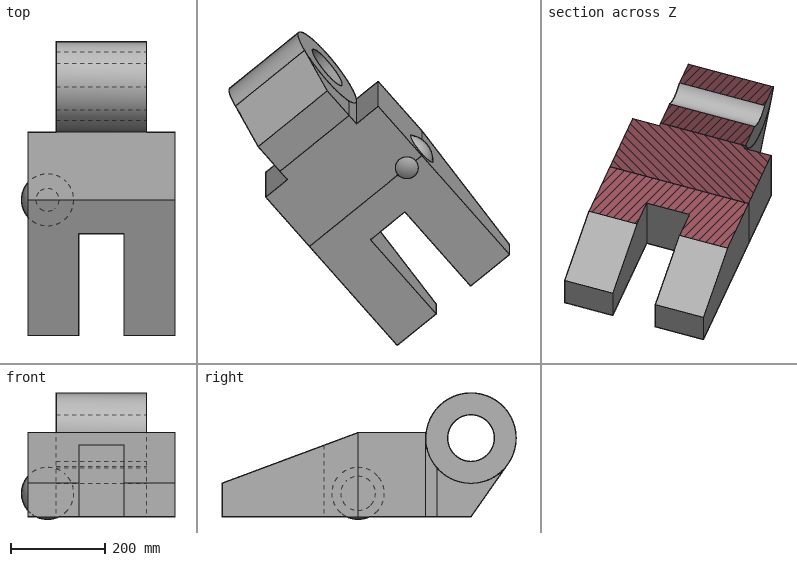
import cadquery as cq
import math

BODY_WIDTH = 312.5
BODY_HEIGHT = 179.0
BLOCK_LENGTH = 143.5

FORK_LENGTH = 288.0
FORK_TIP_HEIGHT = 72.0
SLOT_WIDTH = 95.5
SLOT_LENGTH = 216.0

BARREL_RADIUS = 96.0
BORE_RADIUS = 49.0
BARREL_WIDTH = 192.0
BARREL_AXIS_Z = 167.0

TONGUE_LENGTH = 24.5

BALL_RADIUS = 55.5
BALL_CENTER_Z = 50.0
BALL_PROTRUSION = 14.0

BARREL_AXIS_Y = BLOCK_LENGTH + BARREL_RADIUS
TONGUE_END_Y = BLOCK_LENGTH + TONGUE_LENGTH
BALL_CENTER_X = -BODY_WIDTH / 2 - BALL_PROTRUSION + BALL_RADIUS


def side_profile(points, width):
    """Extrude a Y-Z outline across X, centred on X = 0."""
    return cq.Workplane("YZ", origin=(-width / 2, 0, 0)).polyline(points).close().extrude(width)


def barrel_cylinder(radius):
    """Cylinder along X on the barrel axis."""
    return (
        cq.Workplane("YZ", origin=(-BARREL_WIDTH / 2, BARREL_AXIS_Y, BARREL_AXIS_Z))
        .circle(radius)
        .extrude(BARREL_WIDTH)
    )


def make_ball():
    """Ball set into the joint, standing out at the -X side and the underside."""
    return cq.Workplane("XY").sphere(BALL_RADIUS).translate((BALL_CENTER_X, 0, BALL_CENTER_Z))


def make_fork(ball):
    """Tapered two-pronged front piece, with half of the ball seat."""
    fork = side_profile(
        [(0, 0), (0, BODY_HEIGHT), (-FORK_LENGTH, FORK_TIP_HEIGHT), (-FORK_LENGTH, 0)],
        BODY_WIDTH,
    )
    slot = (
        cq.Workplane("XY")
        .box(SLOT_WIDTH, SLOT_LENGTH, BODY_HEIGHT, centered=(True, False, False))
        .translate((0, -FORK_LENGTH, 0))
    )
    return fork.cut(slot).cut(ball)


def make_block(ball):
    """Rear block with a narrow tongue shaped to the barrel, and half of the ball seat."""
    block = cq.Workplane("XY").box(
        BODY_WIDTH, BLOCK_LENGTH, BODY_HEIGHT, centered=(True, False, False)
    )
    tongue = cq.Workplane("XY").box(
        BARREL_WIDTH, TONGUE_END_Y, BODY_HEIGHT, centered=(True, False, False)
    )
    return block.union(tongue).cut(barrel_cylinder(BARREL_RADIUS)).cut(ball)


def make_barrel():
    """Bored cylinder along X."""
    return barrel_cylinder(BARREL_RADIUS).cut(barrel_cylinder(BORE_RADIUS))


def make_web():
    """Support behind the tongue that cradles the underside of the barrel."""
    top_z = BARREL_AXIS_Z - BORE_RADIUS
    top_y = BARREL_AXIS_Y + math.sqrt(BARREL_RADIUS**2 - BORE_RADIUS**2)
    web = side_profile(
        [(TONGUE_END_Y, 0), (TONGUE_END_Y, top_z), (top_y, top_z), (BARREL_AXIS_Y, 0)],
        BARREL_WIDTH,
    )
    return web.cut(barrel_cylinder(BARREL_RADIUS))


ball = make_ball()
fork = make_fork(ball)
block = make_block(ball)
barrel = make_barrel()
web = make_web()

result = cq.Compound.makeCompound([fork.val(), block.val(), barrel.val(), web.val(), ball.val()])